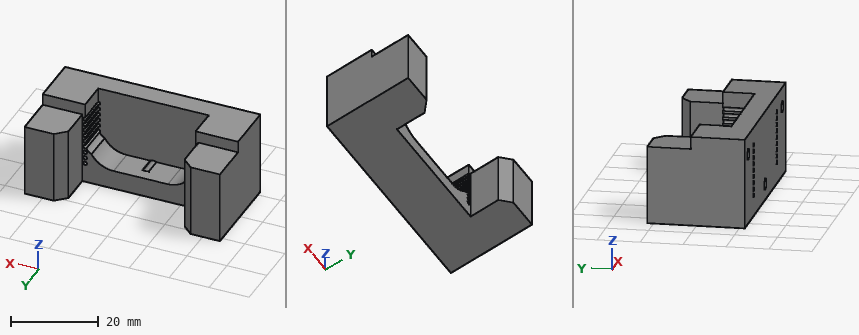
import cadquery as cq
import math

length = 48.9
depth = 22.75
height = 21.1
mid_x = length / 2

block_depth = 12.55
arm_width = 9.95
arm_height = 18.2
arm_chamfer_x = 2.6
arm_chamfer_y = 2.4

front_wall = 5.2
cradle_width = 27.65
floor_z = 4.85
floor_flat_width = 13.6
floor_arc_radius = 6.25
floor_arc_angle = 60
corner_radius = 2.75

pin_diameter = 0.9
pin_count = 9
pin_column_span = 12.0
pin_pitch = pin_column_span / (pin_count - 1)
left_pin_z = 4.9
right_pin_z = 5.05

mount_diameter = 2.6
mount_depth = 9.5
drill_point_angle = 118
upper_mount_spacing = 40.5
upper_mount_z = 16.5
lower_mount_z = 3.75


def block_with_arms():
    """Main block and two lower arms, each chamfered on its inner back corner."""
    block = cq.Workplane("XY").box(length, block_depth, height, centered=False)
    left_arm = (
        cq.Workplane("XY")
        .moveTo(0, 0)
        .lineTo(arm_width, 0)
        .lineTo(arm_width, depth - arm_chamfer_y)
        .lineTo(arm_width - arm_chamfer_x, depth)
        .lineTo(0, depth)
        .close()
        .extrude(arm_height)
    )
    right_arm = left_arm.mirror("YZ").translate((length, 0, 0))
    return block.union(left_arm).union(right_arm)


def cradle():
    """Pocket whose floor rises on each side in a wide arc, then a corner arc tangent to the wall."""
    half_flat = floor_flat_width / 2
    half_width = cradle_width / 2
    arc_center_z = floor_z + floor_arc_radius

    def on_floor_arc(degrees):
        angle = math.radians(degrees)
        x = half_flat + floor_arc_radius * math.sin(angle)
        z = arc_center_z - floor_arc_radius * math.cos(angle)
        return x, z

    arc_mid = on_floor_arc(floor_arc_angle / 2)
    arc_end = on_floor_arc(floor_arc_angle)

    corner_center_x = half_width - corner_radius
    corner_start_angle = math.asin((arc_end[0] - corner_center_x) / corner_radius)
    corner_center_z = arc_end[1] + corner_radius * math.cos(corner_start_angle)
    corner_mid_angle = (corner_start_angle + math.pi / 2) / 2
    corner_mid = (
        corner_center_x + corner_radius * math.sin(corner_mid_angle),
        corner_center_z - corner_radius * math.cos(corner_mid_angle),
    )

    right_half = (
        cq.Workplane("XZ", origin=(mid_x, front_wall, 0))
        .moveTo(0, floor_z)
        .lineTo(half_flat, floor_z)
        .threePointArc(arc_mid, arc_end)
        .threePointArc(corner_mid, (half_width, corner_center_z))
        .lineTo(half_width, height)
        .lineTo(0, height)
        .close()
        .extrude(front_wall - depth)
    )
    left_half = right_half.mirror("YZ", (mid_x, 0, 0))
    return right_half.union(left_half)


def pin_column(x, lowest_z):
    """Column of through holes; inside the cradle they run on as grooves in its wall."""
    places = [(x, lowest_z + i * pin_pitch) for i in range(pin_count)]
    return cq.Workplane("XZ").pushPoints(places).circle(pin_diameter / 2).extrude(-block_depth)


def mounting_hole(x, z):
    """Blind hole along Y with a conical drill point."""
    radius = mount_diameter / 2
    tip_y = mount_depth + radius / math.tan(math.radians(drill_point_angle / 2))
    return (
        cq.Workplane("XY", origin=(x, 0, z))
        .polyline([(0, 0), (radius, 0), (radius, mount_depth), (0, tip_y)])
        .close()
        .revolve(360, (0, 0, 0), (0, 1, 0))
    )


result = block_with_arms().cut(cradle())

for side, lowest_pin_z in ((-1, left_pin_z), (1, right_pin_z)):
    result = result.cut(pin_column(mid_x + side * cradle_width / 2, lowest_pin_z))
    result = result.cut(mounting_hole(mid_x + side * upper_mount_spacing / 2, upper_mount_z))

result = result.cut(mounting_hole(mid_x, lower_mount_z))